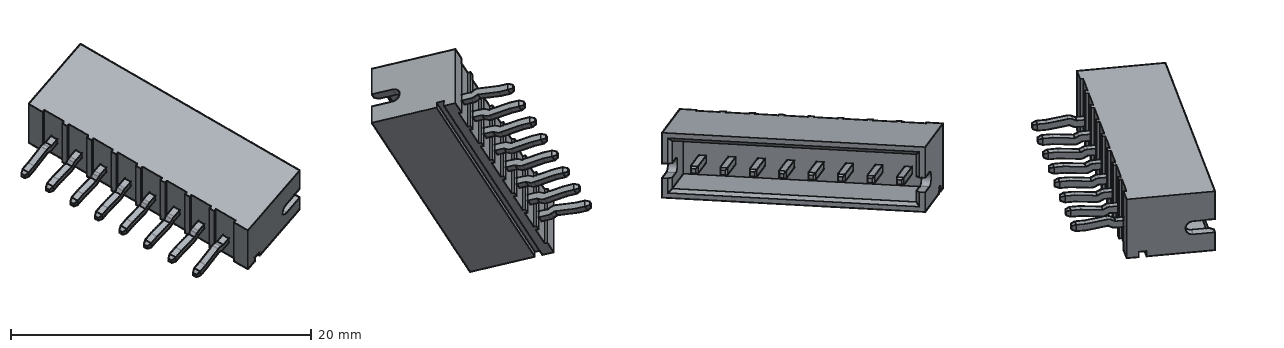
import cadquery as cq
import math

pin_count = 8
pitch = 2.0

housing_length = 17.9
housing_depth = 6.0
housing_height = 4.5

end_wall = 0.65
side_wall = 0.6
mouth_chamfer = 0.25
cavity_depth = 4.0

slot_width = 1.0
slot_depth = 2.0
slot_center_z = 1.87

channel_width = 1.6
channel_depth = 0.2

groove_offset = 0.82
groove_width = 0.53
groove_height = 0.4

pin_size = 0.5
pin_z = 1.7
tip_size = 0.3
tip_length = 0.3
front_gap = 0.97
tail_length = 3.4

kink_start = 0.44
kink_end = 2.42
kink_angle = math.radians(27)
ramp_length = 0.3

mouth_y = housing_depth
pin_xs = [(i - (pin_count - 1) / 2) * pitch for i in range(pin_count)]
shaft_front_y = mouth_y - front_gap - tip_length
shaft_tail = tail_length - tip_length
cavity_length = housing_length - 2 * end_wall
cavity_height = housing_height - 2 * side_wall


def block(x_min, x_max, y_min, y_max, z_min, z_max):
    """Box given by its limits along each axis."""
    size = (x_max - x_min, y_max - y_min, z_max - z_min)
    return cq.Workplane("XY").box(*size, centered=False).translate((x_min, y_min, z_min))


def cavity():
    """Open cavity with a chamfered lead-in around the mouth."""
    half = cavity_length / 2
    room = block(-half, half, mouth_y - cavity_depth, mouth_y, side_wall, housing_height - side_wall)
    lead_in = (
        cq.Workplane("XZ", origin=(0, mouth_y, housing_height / 2))
        .rect(cavity_length + 2 * mouth_chamfer, cavity_height + 2 * mouth_chamfer)
        .workplane(offset=mouth_chamfer)
        .rect(cavity_length, cavity_height)
        .loft()
    )
    return room.union(lead_in)


def end_slot():
    """Slot open at the mouth with a round inner end, running through both end walls."""
    radius = slot_width / 2
    straight_y = mouth_y - slot_depth + radius
    return (
        cq.Workplane("YZ", origin=(-housing_length / 2, 0, slot_center_z))
        .moveTo(mouth_y, radius)
        .lineTo(straight_y, radius)
        .threePointArc((straight_y - radius, 0), (straight_y, -radius))
        .lineTo(mouth_y, -radius)
        .close()
        .extrude(housing_length)
    )


def make_housing():
    half = housing_length / 2
    body = block(-half, half, 0, housing_depth, 0, housing_height)
    body = body.cut(cavity()).cut(end_slot())

    groove_end = groove_offset + groove_width
    body = body.cut(block(-half, half, groove_offset, groove_end, 0, groove_height))

    for x in pin_xs:
        left = x - channel_width / 2
        right = x + channel_width / 2
        body = body.cut(block(left, right, 0, channel_depth, 0, housing_height))
        pin_left = x - pin_size / 2
        pin_low = pin_z - pin_size / 2
        hole = block(pin_left, pin_left + pin_size, 0, housing_depth, pin_low, pin_low + pin_size)
        body = body.cut(hole)
    return body


def pin_tip(y, direction):
    """Square taper that starts at y and narrows along +Y (1) or -Y (-1)."""
    plane = cq.Plane(origin=(0, y, 0), xDir=(1, 0, 0), normal=(0, direction, 0))
    return (
        cq.Workplane(plane)
        .rect(pin_size, pin_size)
        .workplane(offset=tip_length)
        .rect(tip_size, tip_size)
        .loft()
    )


def pin_shaft(side):
    """Shaft with a two-bend kink to +Z (side 1) or -Z (side -1), about the pin axis.

    Each bend is sharp on its inside and rounded on its outside, so the thickness stays even.
    Points are (distance behind the housing, height toward the kinked side).
    """
    half = pin_size / 2
    run = ramp_length * math.cos(kink_angle)
    rise = ramp_length * math.sin(kink_angle)

    def above(center, angle):
        """Point one pin thickness above a bend centre, leaning by an angle toward the tail end."""
        return (
            center[0] + pin_size * math.sin(angle),
            center[1] + pin_size * math.cos(angle),
        )

    def below(center, angle):
        """Point one pin thickness below a bend centre, leaning by an angle toward the tail end."""
        return (
            center[0] + pin_size * math.sin(angle),
            center[1] - pin_size * math.cos(angle),
        )

    first = (kink_start, half)
    ramp_foot = below(first, kink_angle)
    second = (ramp_foot[0] + run, ramp_foot[1] + rise)

    return_angle = math.atan2(second[1] + half, kink_end - second[0])

    mitre = kink_end + pin_size * math.tan(return_angle / 2)

    def place(point):
        """Turn (distance behind, height) into (Y, Z)."""
        return (-point[0], side * point[1])

    return (
        cq.Workplane("YZ", origin=(-pin_size / 2, 0, 0))
        .moveTo(shaft_front_y, side * half)
        .lineTo(*place(first))
        .lineTo(*place(above(second, -kink_angle)))
        .threePointArc(
            place(above(second, (return_angle - kink_angle) / 2)),
            place(above(second, return_angle)),
        )
        .lineTo(*place((mitre, half)))
        .lineTo(*place((shaft_tail, half)))
        .lineTo(*place((shaft_tail, -half)))
        .lineTo(*place((kink_end, -half)))
        .lineTo(*place(second))
        .lineTo(*place(ramp_foot))
        .threePointArc(place(below(first, kink_angle / 2)), place(below(first, 0)))
        .lineTo(shaft_front_y, -side * half)
        .close()
        .extrude(pin_size)
    )


def make_pin(x, side):
    pin = pin_shaft(side).union(pin_tip(shaft_front_y, 1)).union(pin_tip(-shaft_tail, -1))
    return pin.translate((x, 0, pin_z))


housing = make_housing()

pins = []
for x in pin_xs:
    is_end_pin = x in (pin_xs[0], pin_xs[-1])
    pins.append(make_pin(x, 1 if is_end_pin else -1))

result = cq.Compound.makeCompound([housing.val(), *[pin.val() for pin in pins]])